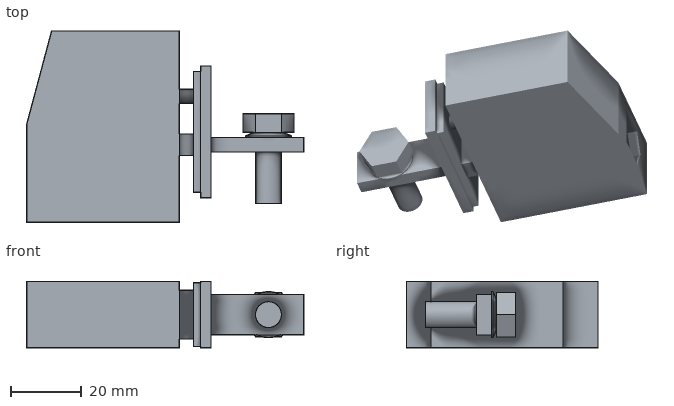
import cadquery as cq
import math

body_length = 43.0
body_width = 54.0
body_height = 18.8
bevel_length = 7.0
bevel_start_y = 27.8
mid_z = body_height / 2

pocket_depth = 2.8
pocket_height = 12.0
pocket_tip_y = 6.2
pocket_shoulder_y = 9.6
pocket_back_y = 19.9

gap = 4.0
neck_width = 6.1
neck_height = 13.8
neck_y = 21.9
pin_diameter = 4.1
pin_y = 35.5

inner_flange_thickness = 2.0
inner_flange_width = 34.1
inner_flange_height = 18.1
outer_flange_thickness = 3.0
outer_flange_width = 37.2
flange_y = 25.5

overall_length = 78.1
tab_thickness = 4.2
tab_height = 11.4
tab_y = 21.9

bolt_x = 68.15
shank_diameter = 7.3
shank_projection = 14.5
head_sides = 6
head_across_corners = 14.5
head_height = 5.3
washer_diameter = 13.0
washer_top_diameter = 8.3
washer_rim_height = 0.4
washer_height = 1.4

inner_flange_x = body_length + gap
outer_flange_x = inner_flange_x + inner_flange_thickness
tab_x = outer_flange_x + outer_flange_thickness
tab_low_y = tab_y - tab_thickness / 2
tab_high_y = tab_y + tab_thickness / 2


def block(start_x, length, center_y, width, height):
    """Box running in +X from start_x, centred at mid height."""
    return (
        cq.Workplane("XY")
        .box(length, width, height, centered=(False, True, True))
        .translate((start_x, center_y, mid_z))
    )


def bolt_plane(y):
    """Workplane on the bolt axis whose normal points along +Y."""
    return cq.Workplane(cq.Plane(origin=(bolt_x, y, mid_z), xDir=(1, 0, 0), normal=(0, 1, 0)))


def make_body():
    outline = [
        (0, 0),
        (body_length, 0),
        (body_length, body_width),
        (bevel_length, body_width),
        (0, bevel_start_y),
    ]
    body = cq.Workplane("XY").polyline(outline).close().extrude(body_height)
    pocket_outline = [
        (pocket_back_y, mid_z - pocket_height / 2),
        (pocket_shoulder_y, mid_z - pocket_height / 2),
        (pocket_tip_y, mid_z),
        (pocket_shoulder_y, mid_z + pocket_height / 2),
        (pocket_back_y, mid_z + pocket_height / 2),
    ]
    pocket = cq.Workplane("YZ").polyline(pocket_outline).close().extrude(pocket_depth)
    return body.cut(pocket)


def make_pin():
    base = cq.Workplane("YZ", origin=(body_length, pin_y, mid_z))
    return base.circle(pin_diameter / 2).extrude(gap)


def make_bolt():
    tip_y = tab_low_y - shank_projection
    shank = bolt_plane(tip_y).circle(shank_diameter / 2).extrude(tab_high_y - tip_y)
    head_plane = bolt_plane(tab_high_y + washer_height)
    head = head_plane.polygon(head_sides, head_across_corners).extrude(head_height)
    return shank.union(make_washer()).union(head)


def make_washer():
    """Flat round rim with a cone above it that narrows toward the bolt head."""
    rim_radius = washer_diameter / 2
    top_radius = washer_top_diameter / 2
    cone_height = washer_height - washer_rim_height
    taper = math.degrees(math.atan2(rim_radius - top_radius, cone_height))
    rim = bolt_plane(tab_high_y).circle(rim_radius).extrude(washer_rim_height)
    cone_plane = bolt_plane(tab_high_y + washer_rim_height)
    cone = cone_plane.circle(rim_radius).extrude(cone_height, taper=taper)
    return rim.union(cone)


neck = block(body_length, gap, neck_y, neck_width, neck_height)
inner_flange = block(
    inner_flange_x, inner_flange_thickness, flange_y, inner_flange_width, inner_flange_height
)
outer_flange = block(outer_flange_x, outer_flange_thickness, flange_y, outer_flange_width, body_height)
tab = block(tab_x, overall_length - tab_x, tab_y, tab_thickness, tab_height)

result = (
    make_body()
    .union(neck)
    .union(make_pin())
    .union(inner_flange)
    .union(outer_flange)
    .union(tab)
    .union(make_bolt())
)